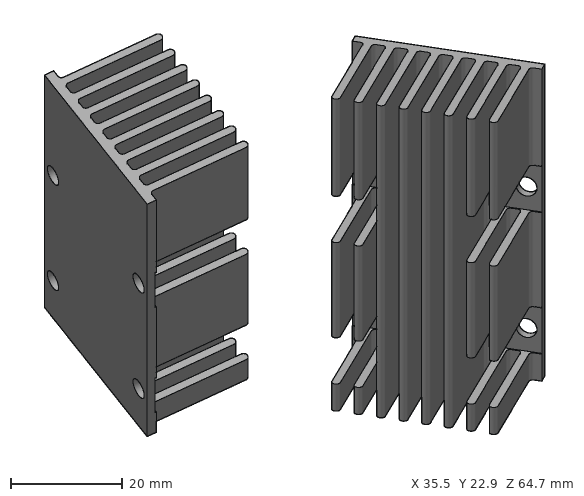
import cadquery as cq

width = 35.55
depth = 22.9
length = 64.65

base_thickness = 1.95
fin_count = 8
fin_thickness = 1.6
outer_fin_spacing = 29.55
root_fillet = 0.7

hole_diameter = 3.9
hole_spacing_x = 29.7
hole_spacing_z = 29.3
lower_hole_z = 10.4
notch_height = 9.6
notch_floor = 1.7
fins_cut_per_side = 2

fin_pitch = outer_fin_spacing / (fin_count - 1)
fin_centers = [i * fin_pitch - outer_fin_spacing / 2 for i in range(fin_count)]
hole_heights = [lower_hole_z, lower_hole_z + hole_spacing_z]


def box(x_min, x_max, y_min, y_max, z_min, z_max):
    """Axis-aligned block between the given limits."""
    size = (x_max - x_min, y_max - y_min, z_max - z_min)
    return cq.Workplane("XY").box(*size, centered=False).translate((x_min, y_min, z_min))


def fin(x):
    """Straight fin centered at x, rising from the base plate to a fully rounded tip."""
    half = fin_thickness / 2
    shoulder = depth - half
    return (
        cq.Workplane("XY")
        .moveTo(x - half, 0)
        .lineTo(x + half, 0)
        .lineTo(x + half, shoulder)
        .threePointArc((x, depth), (x - half, shoulder))
        .close()
        .extrude(length)
    )


def finned_extrusion():
    """Base plate with parallel fins whose roots are filleted."""
    body = box(-width / 2, width / 2, 0, base_thickness, 0, length)
    for x in fin_centers:
        body = body.union(fin(x))
    reach = (outer_fin_spacing + width) / 4 + fin_thickness / 4
    roots = cq.selectors.BoxSelector(
        (-reach, base_thickness / 2, 0), (reach, depth / 2, length)
    )
    return body.edges("|Z").edges(roots).fillet(root_fillet)


def side_notch(side, z):
    """Block that removes the outer fins around a hole; side is -1 at low X, +1 at high X."""
    inner = abs(fin_centers[fins_cut_per_side]) + fin_thickness / 2 + root_fillet
    x_min, x_max = sorted([side * inner, side * width / 2])
    return box(x_min, x_max, notch_floor, depth, z - notch_height / 2, z + notch_height / 2)


def mounting_hole(side, z):
    """Cylinder through the base plate."""
    drill = cq.Workplane("XZ").circle(hole_diameter / 2).extrude(-base_thickness)
    return drill.translate((side * hole_spacing_x / 2, 0, z))


result = finned_extrusion()
for side in (-1, 1):
    for z in hole_heights:
        result = result.cut(side_notch(side, z))
        result = result.cut(mounting_hole(side, z))